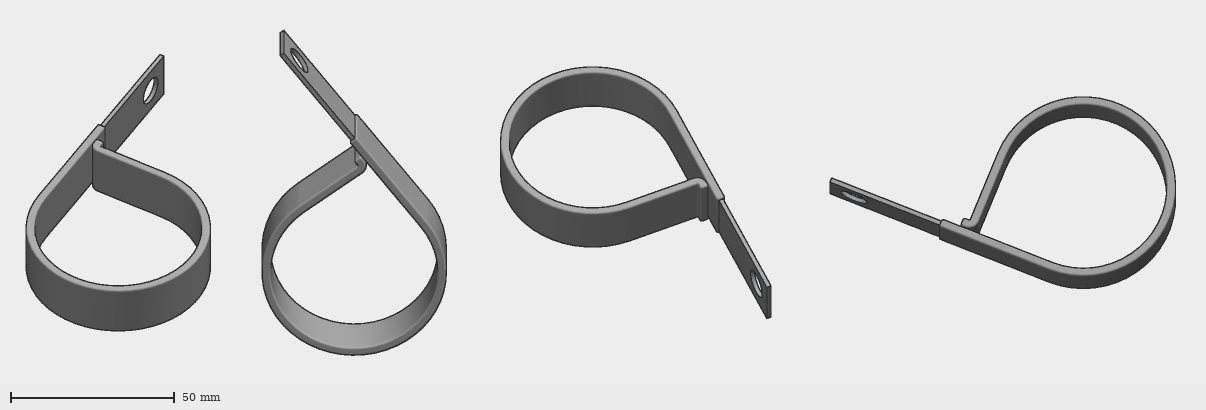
import cadquery as cq
import math

total_length = 100.4
loop_diameter = 56.3
sleeve_width = 17.4
cushion = 0.65
strap_thickness = 1.4
sleeve_end_y = 36.1
hole_diameter = 8.7
hole_to_tip = 7.9
hook_gap = 0.1
hook_inner_radius = 0.4
hook_end_y = 30.2

outer_radius = loop_diameter / 2
sleeve_thickness = strap_thickness + 2 * cushion
inner_radius = outer_radius - sleeve_thickness
strap_width = sleeve_width - 2 * cushion
strap_tip_y = total_length - outer_radius
leg_center_x = sleeve_thickness / 2 - outer_radius

hook_left_x = -inner_radius + hook_gap
hook_right_x = hook_left_x + sleeve_thickness
hook_outer_radius = hook_inner_radius + sleeve_thickness
bend_x = hook_left_x + hook_outer_radius
bend_y = inner_radius + hook_outer_radius


def bend_midpoint(radius):
    """Middle of the quarter arc joining the arm to the hook."""
    offset = radius * math.sqrt(0.5)
    return (bend_x - offset, bend_y - offset)


def make_sleeve():
    """Cushioned loop: straight leg, three-quarter ring, arm and hooked end."""
    diagonal = math.sqrt(0.5)
    outer_mid = (outer_radius * diagonal, -outer_radius * diagonal)
    inner_mid = (inner_radius * diagonal, -inner_radius * diagonal)
    body = (
        cq.Workplane("XY")
        .workplane(offset=-sleeve_width / 2)
        .moveTo(-outer_radius, sleeve_end_y)
        .lineTo(-outer_radius, 0)
        .threePointArc(outer_mid, (0, outer_radius))
        .lineTo(bend_x, outer_radius)
        .threePointArc(bend_midpoint(hook_inner_radius), (hook_right_x, bend_y))
        .lineTo(hook_right_x, hook_end_y)
        .lineTo(hook_left_x, hook_end_y)
        .lineTo(hook_left_x, bend_y)
        .threePointArc(bend_midpoint(hook_outer_radius), (bend_x, inner_radius))
        .lineTo(0, inner_radius)
        .threePointArc(inner_mid, (-inner_radius, 0))
        .lineTo(-inner_radius, sleeve_end_y)
        .close()
        .extrude(sleeve_width)
    )
    leg_end = cq.selectors.BoxSelector(
        (-loop_diameter, sleeve_end_y - cushion, -sleeve_width),
        (0, sleeve_end_y + cushion, sleeve_width),
    )
    hook_end = cq.selectors.BoxSelector(
        (hook_left_x - hook_gap / 2, hook_end_y - cushion / 2, -sleeve_width),
        (hook_right_x + hook_gap / 2, hook_end_y + cushion / 2, sleeve_width),
    )
    rims = cq.StringSyntaxSelector("#Z")
    return body.edges(rims + leg_end + hook_end).fillet(cushion)


def make_strap():
    """Bare metal strap reaching out of the cushion, with its bolt hole."""
    embedded_y = sleeve_end_y / 2
    strap_length = strap_tip_y - embedded_y
    strap = cq.Workplane("XY").box(strap_thickness, strap_length, strap_width)
    strap = strap.translate((leg_center_x, embedded_y + strap_length / 2, 0))
    hole = (
        cq.Workplane("YZ")
        .workplane(offset=leg_center_x)
        .center(strap_tip_y - hole_to_tip, 0)
        .circle(hole_diameter / 2)
        .extrude(strap_thickness, both=True)
    )
    return strap.cut(hole)


result = make_sleeve().union(make_strap())